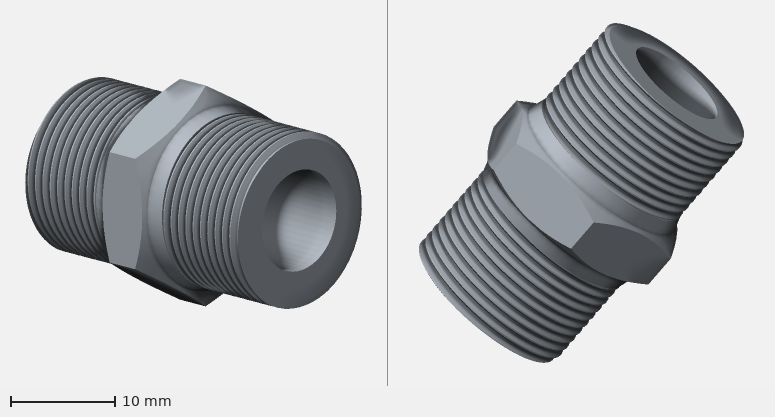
import cadquery as cq
import math

length = 29.0
turns_per_length = 29
pitch = length / turns_per_length
turns_per_end = 10
bore_diameter = 10.0

root_radius = 8.0
crest_radius = 8.6
ridge_base_width = 0.75 * pitch
ridge_crest_width = 0.15 * pitch
root_embed = 0.1

across_flats = 19.0
across_corners = across_flats / math.cos(math.radians(30))
thread_length = turns_per_end * pitch
collar_half_length = length / 2 - thread_length
cone_half_length = 3.0
flat_half_length = 1.75
cone_base_radius = 9.08


def x_cylinder(radius, start, extent):
    """Solid cylinder along X, starting at X = start."""
    return cq.Workplane("YZ", origin=(start, 0, 0)).circle(radius).extrude(extent)


def thread_ridge():
    """Thread ridge trimmed flat at both ends of the threaded length at the -X end."""
    turns = turns_per_end + 2
    helix = cq.Wire.makeHelix(pitch, turns * pitch, root_radius)
    flank_slope = (ridge_base_width - ridge_crest_width) / 2 / (crest_radius - root_radius)
    inner_half = ridge_base_width / 2 + flank_slope * root_embed
    crest_half = ridge_crest_width / 2
    inner_radius = root_radius - root_embed
    ridge = (
        cq.Workplane("XZ")
        .polyline([
            (inner_radius, -inner_half),
            (crest_radius, -crest_half),
            (crest_radius, crest_half),
            (inner_radius, inner_half),
        ])
        .close()
        .sweep(cq.Workplane(obj=helix), isFrenet=True)
        .rotate((0, 0, 0), (0, 1, 0), 90)
        .translate((-length / 2 - pitch, 0, 0))
    )
    return ridge.intersect(x_cylinder(crest_radius + pitch, -length / 2, thread_length))


def make_pipe():
    """Pipe with a through bore and mirrored threads at its two ends."""
    left_ridge = thread_ridge()
    right_ridge = left_ridge.mirror("YZ")
    pipe = x_cylinder(root_radius, -length / 2, length).union(left_ridge).union(right_ridge)
    return pipe.cut(x_cylinder(bore_diameter / 2, -length / 2, length))


def make_collar():
    """Hexagonal collar with coned ends, bored to fit the plain middle of the pipe."""
    hexagon = (
        cq.Workplane("YZ", origin=(-collar_half_length, 0, 0))
        .polygon(6, across_corners)
        .extrude(2 * collar_half_length)
        .rotate((0, 0, 0), (1, 0, 0), 90)
    )
    corner_radius = across_corners / 2
    envelope = (
        cq.Workplane("XY")
        .polyline([
            (-collar_half_length, 0),
            (-collar_half_length, crest_radius),
            (-cone_half_length, cone_base_radius),
            (-flat_half_length, corner_radius),
            (flat_half_length, corner_radius),
            (cone_half_length, cone_base_radius),
            (collar_half_length, crest_radius),
            (collar_half_length, 0),
        ])
        .close()
        .revolve(360, (0, 0, 0), (1, 0, 0))
    )
    bore = x_cylinder(root_radius, -collar_half_length, 2 * collar_half_length)
    return hexagon.intersect(envelope).cut(bore)


pipe = make_pipe()
collar = make_collar()
result = cq.Compound.makeCompound([pipe.solids().val(), collar.solids().val()])